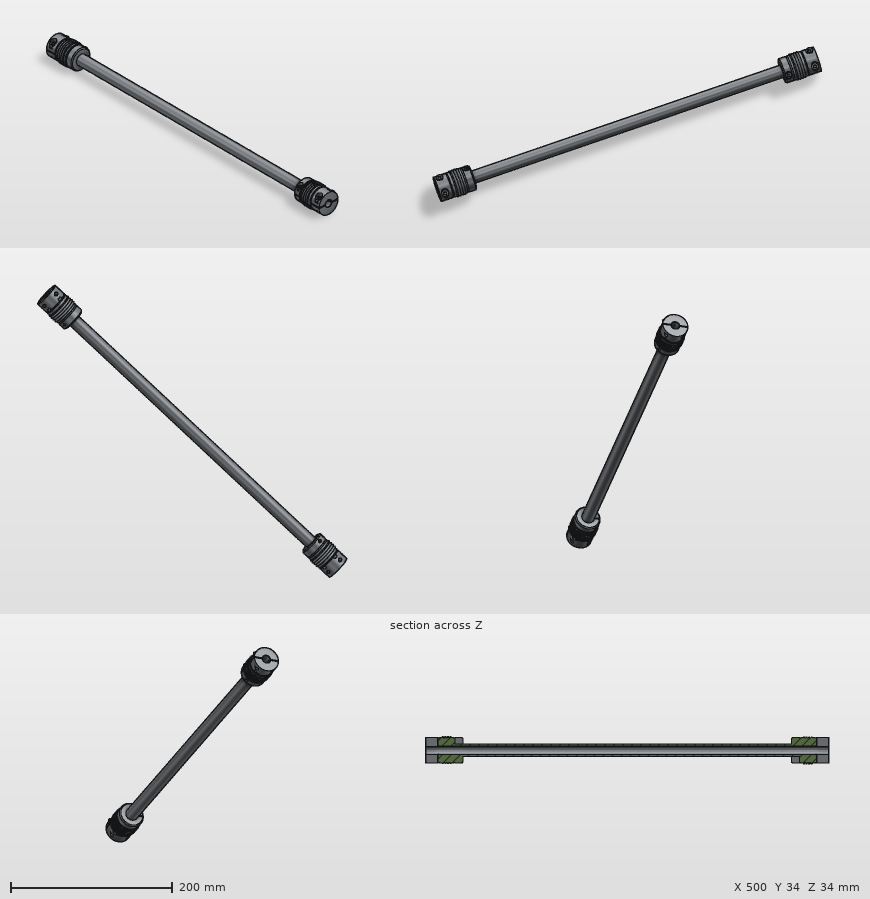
import cadquery as cq

length = 500.0
tube_diameter = 16.0
bore_diameter = 10.0
bore_chamfer = 0.5

hub_diameter = 32.0
hub_chamfer = 1.5
coupling_length = 46.5
outer_hub_length = 15.5
outer_slit_length = 15.0
inner_hub_start = 36.5
slit_width = 1.5

neck_diameter = 31.0
collar_diameter = 32.0
outer_collar_start = 17.0
inner_collar_end = 34.5
bellows_diameter = 34.0
bellows_start = 20.5
wave_radius = 0.8
half_wave_count = 7

screw_offset = 10.5
tip_height = -7.5
outer_screw = {"x": 6.5, "head": 8.5, "counterbore": 9.0, "socket": 4.0, "tap": 4.15, "seat": 4.5, "top": 9.5}
inner_screw = {"x": 41.0, "head": 7.0, "counterbore": 7.5, "socket": 3.3, "tap": 3.3, "seat": 6.0, "top": 10.0}
socket_depth = 2.5

cross_hole_diameter = 3.5
cross_hole_x = 14.0
cross_hole_z = -12.5


def disc(start, end, diameter):
    """Cylinder along X between two stations."""
    return cq.Workplane("YZ", origin=(start, 0, 0)).circle(diameter / 2).extrude(end - start)


def post(x, y, bottom, top, diameter):
    """Cylinder along Z between two heights."""
    return cq.Workplane("XY", origin=(x, y, bottom)).circle(diameter / 2).extrude(top - bottom)


def slit(start, end, y_min, y_max):
    """Flat clamp slit lying in the XY plane."""
    center = ((start + end) / 2, (y_min + y_max) / 2, 0)
    return cq.Workplane("XY").box(end - start, y_max - y_min, slit_width).translate(center)


def bellows():
    """Necked collars on both sides of a run of rounded convolutions, made of alternating half circles."""
    mid_radius = bellows_diameter / 2 - wave_radius
    profile = cq.Workplane("XY").moveTo(outer_hub_length, 0).lineTo(outer_hub_length, neck_diameter / 2)
    profile = profile.lineTo(outer_collar_start, neck_diameter / 2)
    profile = profile.lineTo(outer_collar_start, collar_diameter / 2)
    profile = profile.lineTo(bellows_start, collar_diameter / 2)
    profile = profile.lineTo(bellows_start, mid_radius)
    for i in range(half_wave_count):
        start = bellows_start + 2 * wave_radius * i
        side = 1 if i % 2 == 0 else -1
        crown = (start + wave_radius, mid_radius + side * wave_radius)
        profile = profile.threePointArc(crown, (start + 2 * wave_radius, mid_radius))
    bellows_end = bellows_start + 2 * wave_radius * half_wave_count
    profile = profile.lineTo(bellows_end, collar_diameter / 2)
    profile = profile.lineTo(inner_collar_end, collar_diameter / 2)
    profile = profile.lineTo(inner_collar_end, neck_diameter / 2)
    profile = profile.lineTo(inner_hub_start, neck_diameter / 2)
    profile = profile.lineTo(inner_hub_start, 0).close()
    return profile.revolve(360, (0, 0, 0), (1, 0, 0))


def fit_screw(body, screw, y):
    """Sink a socket head screw into the body, leaving the tapped hole open below its tip."""
    x = screw["x"]
    radius = hub_diameter / 2
    body = body.cut(post(x, y, screw["seat"], radius, screw["counterbore"]))
    body = body.cut(post(x, y, -radius, tip_height, screw["tap"]))
    head = post(x, y, screw["seat"], screw["top"], screw["head"])
    head = head.cut(post(x, y, screw["top"] - socket_depth, screw["top"], screw["socket"]))
    return body.union(head)


def coupling():
    """Coupling at the -X end: clamp hub, bellows and the hub that grips the tube."""
    radius = bellows_diameter / 2
    outer_hub = disc(0, outer_hub_length, hub_diameter)
    inner_hub = disc(inner_hub_start, coupling_length, hub_diameter).faces(">X").chamfer(hub_chamfer)
    body = outer_hub.union(bellows()).union(inner_hub)
    body = body.cut(disc(0, coupling_length, bore_diameter))
    body = body.faces("<X").edges(cq.selectors.RadiusNthSelector(0)).chamfer(bore_chamfer)
    body = body.cut(slit(0, outer_slit_length, -radius, radius))
    body = body.cut(slit(inner_hub_start, coupling_length, 0, radius))
    for y in (-screw_offset, screw_offset):
        body = fit_screw(body, outer_screw, y)
    body = fit_screw(body, inner_screw, screw_offset)
    cross_plane = cq.Workplane("XZ", origin=(cross_hole_x, radius, cross_hole_z))
    cross_hole = cross_plane.circle(cross_hole_diameter / 2).extrude(2 * radius)
    return body.cut(cross_hole)


left = coupling()
right = left.rotate((length / 2, 0, 0), (length / 2, 0, 1), 180)
tube = disc(outer_hub_length, length - outer_hub_length, tube_diameter)
tube = tube.cut(disc(0, length, bore_diameter))
result = left.union(tube).union(right)